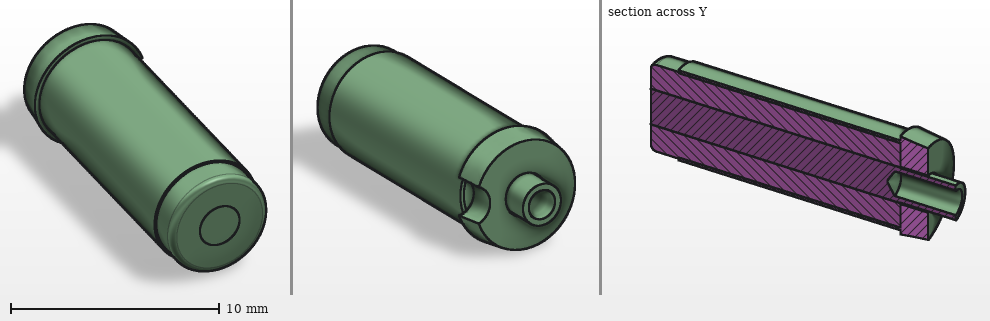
import cadquery as cq
import math

TOTAL_LENGTH = 16.5
STEP_LENGTH = 1.5
FLANGE_START = STEP_LENGTH
FLANGE_END = FLANGE_START + STEP_LENGTH
BARREL_END = TOTAL_LENGTH - STEP_LENGTH

FLANGE_RADIUS = 3.0
FLANGE_FRONT_RADIUS = 2.8
BARREL_RADIUS = 2.75
BARREL_BORE_RADIUS = 2.55
NOTCH_RADIUS = 1.0

HEAD_RADIUS = 2.65
HEAD_FILLET = 0.33

CONTACT_RADIUS = 1.07
CONTACT_CLEARANCE = 0.05
SOCKET_RADIUS = 0.75
SOCKET_DEPTH = 3.3
SOCKET_CONE_ANGLE = 118.0


def rod(start, end, radius, y=0):
    """Cylinder parallel to the X axis."""
    return cq.Workplane("YZ", origin=(start, y, 0)).circle(radius).extrude(end - start)


def revolve_profile(points):
    """Revolve an (X, radius) outline around the X axis."""
    return cq.Workplane("XY").polyline(points).close().revolve(360, (0, 0, 0), (1, 0, 0))


def make_housing():
    flange = revolve_profile([
        (FLANGE_START, 0),
        (FLANGE_START, FLANGE_FRONT_RADIUS),
        (FLANGE_END, FLANGE_RADIUS),
        (FLANGE_END, 0),
    ])
    notch = rod(FLANGE_START, FLANGE_END, NOTCH_RADIUS, y=FLANGE_RADIUS)
    contact_hole = rod(FLANGE_START, FLANGE_END, CONTACT_RADIUS + CONTACT_CLEARANCE)
    barrel = rod(FLANGE_END, BARREL_END, BARREL_RADIUS)
    bore = rod(FLANGE_END, BARREL_END, BARREL_BORE_RADIUS)
    return flange.union(barrel).cut(bore).cut(notch).cut(contact_hole)


def make_plug():
    core = rod(FLANGE_END, BARREL_END, BARREL_BORE_RADIUS)
    head = rod(BARREL_END, TOTAL_LENGTH, HEAD_RADIUS).faces(">X").edges().fillet(HEAD_FILLET)
    contact_hole = rod(FLANGE_END, TOTAL_LENGTH, CONTACT_RADIUS)
    return core.union(head).cut(contact_hole)


def make_contact():
    pin = rod(0, TOTAL_LENGTH, CONTACT_RADIUS)
    cone_depth = SOCKET_RADIUS / math.tan(math.radians(SOCKET_CONE_ANGLE / 2))
    socket = revolve_profile([
        (0, 0),
        (0, SOCKET_RADIUS),
        (SOCKET_DEPTH, SOCKET_RADIUS),
        (SOCKET_DEPTH + cone_depth, 0),
    ])
    return pin.cut(socket)


housing = make_housing()
plug = make_plug()
contact = make_contact()

result = cq.Compound.makeCompound([housing.val(), plug.val(), contact.val()])